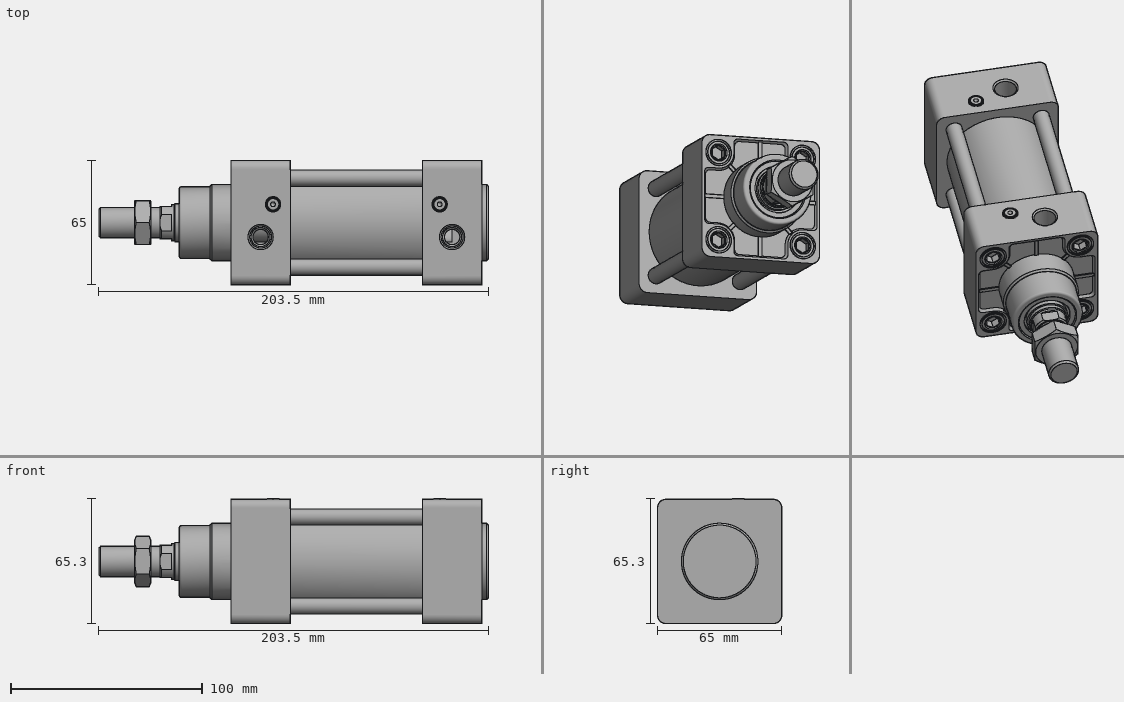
import cadquery as cq
import math


cap_side = 65.0
cap_length = 31.0
front_cap_x = 69.0
barrel_length = 69.0
corner_radius = 4.5
barrel_diameter = 54.0
rear_barrel_x = front_cap_x + cap_length
rear_cap_x = rear_barrel_x + barrel_length
rear_face_x = rear_cap_x + cap_length

tie_spacing = 46.5
tie_diameter = 8.5
tie_groove_outer_diameter = 14.0
tie_groove_inner_diameter = 12.0
tie_groove_depth = 0.5
socket_mouth_diameter = 9.2
socket_floor_diameter = 8.0
socket_mouth_depth = 0.5
socket_flats = 6.7
socket_depth = 5.0

collar_diameter = 40.0
collar_front_x = 58.0
nose_diameter = 37.6
nose_front_x = 42.0
nose_round = 1.2
collar_chamfer = 1.0
nose_bore_diameter = 30.0
nose_bore_chamfer = 0.6
nose_bore_depth = 0.8
seal_seat_diameter = 24.6
seal_seat_depth = 2.5
wiper_diameter = 21.8
spigot_length = 3.5
spigot_chamfer = 1.0

pocket_border = 1.4
pocket_depth = 1.5
pocket_wall_slant = 1.0
pocket_corner_radius = 2.4
pad_radius = 8.3
rib_width = 1.9
rib_drop = 0.8

port_y = -7.5
port_mouth_diameter = 13.2
port_thread_diameter = 11.45
port_thread_depth = 12.0
port_passage_diameter = 8.0
port_passage_chamfer = 1.0
port_chamfer = (port_mouth_diameter - port_thread_diameter) / 2

cushion_y = 9.6
cushion_inset = 9.0
cushion_seat_diameter = 8.0
cushion_seat_depth = 1.0
cushion_screw_diameter = 7.0
cushion_screw_rise = 0.3
cushion_screw_top_diameter = 6.0
cushion_chamfer = (cushion_screw_diameter - cushion_screw_top_diameter) / 2
cushion_hole_diameter = 2.5
cushion_hole_depth = 1.0

rod_diameter = 20.0
thread_diameter = 16.0
tip_chamfer = 1.0
thread_length = 32.0
neck_diameter = 19.0
neck_chamfer = 0.8
wrench_flats = 17.0
wrench_end_x = 38.0
shoulder_x = 39.4
shoulder_chamfer = 0.5
nut_front_x = 18.7
nut_thickness = 8.5
nut_flats = 23.0
nut_chamfer_length = 0.9
nut_face_diameter = 22.3

rear_port_x = rear_cap_x + cap_length / 2
front_port_x = front_cap_x + cap_length / 2


def axial_cylinder(diameter, start_x, length):
    return cq.Workplane("YZ", origin=(start_x, 0, 0)).circle(diameter / 2).extrude(length)


def turned(points):
    """Solid of revolution about X from (x, radius) points."""
    return cq.Workplane("XY").polyline(points).close().revolve(360, (0, 0, 0), (1, 0, 0))


def cap(start_x):
    return (
        cq.Workplane("YZ", origin=(start_x, 0, 0))
        .rect(cap_side, cap_side)
        .extrude(cap_length)
        .edges("|X")
        .fillet(corner_radius)
    )


def front_boss():
    nose = axial_cylinder(nose_diameter, nose_front_x, front_cap_x - nose_front_x)
    nose = nose.faces("<X").fillet(nose_round)
    collar = axial_cylinder(collar_diameter, collar_front_x, front_cap_x + pocket_depth - collar_front_x)
    collar = collar.faces("<X").chamfer(collar_chamfer)
    bore_radius = nose_bore_diameter / 2
    seat_radius = seal_seat_diameter / 2
    recess = turned([
        (nose_front_x, 0),
        (nose_front_x, bore_radius + nose_bore_chamfer),
        (nose_front_x + nose_bore_chamfer, bore_radius),
        (nose_front_x + nose_bore_depth, bore_radius),
        (nose_front_x + nose_bore_depth, seat_radius),
        (nose_front_x + seal_seat_depth, seat_radius),
        (nose_front_x + seal_seat_depth, 0),
    ])
    wiper = axial_cylinder(wiper_diameter, nose_front_x, seal_seat_depth)
    return nose.union(collar).cut(recess).union(wiper)


def pocket_outline(plane, inset):
    """Cross-shaped outline inside the border, rounded around the four screw pads."""
    edge = cap_side / 2 - pocket_border - inset
    pad = tie_spacing / 2 - pad_radius - inset
    centre = tie_spacing / 2
    bend = pad_radius + inset
    corner = pocket_corner_radius
    notch = bend * math.sqrt(0.5)
    swing = corner * (1 - math.sqrt(0.5))
    outline = plane.moveTo(pad, edge - corner)
    for quarter in range(4):
        angle = -quarter * math.pi / 2

        def turn(y, z, a=angle):
            turned_y = y * math.cos(a) - z * math.sin(a)
            turned_z = y * math.sin(a) + z * math.cos(a)
            return (turned_y, turned_z)

        outline = (
            outline.lineTo(*turn(pad, centre))
            .threePointArc(turn(centre - notch, centre - notch), turn(centre, pad))
            .lineTo(*turn(edge - corner, pad))
            .threePointArc(turn(edge - swing, pad - swing), turn(edge, pad - corner))
            .lineTo(*turn(edge, corner - pad))
            .threePointArc(turn(edge - swing, swing - pad), turn(edge - corner, -pad))
        )
    return outline.close()


def front_pocket():
    mouth = pocket_outline(cq.Workplane("YZ", origin=(front_cap_x, 0, 0)), 0)
    floor = pocket_outline(mouth.workplane(offset=pocket_depth), pocket_wall_slant)
    pocket = floor.loft(ruled=True)
    for spoke in range(4):
        rib = (
            cq.Workplane("YZ", origin=(front_cap_x + rib_drop, 0, 0))
            .transformed(rotate=(0, 0, 45 * spoke))
            .rect(2 * cap_side, rib_width)
            .extrude(pocket_depth)
        )
        pocket = pocket.cut(rib)
    return pocket


def tie_screw_recess():
    groove = axial_cylinder(tie_groove_outer_diameter, 0, tie_groove_depth)
    groove = groove.cut(axial_cylinder(tie_groove_inner_diameter, 0, tie_groove_depth))
    mouth = turned([
        (0, 0),
        (0, socket_mouth_diameter / 2),
        (socket_mouth_depth, socket_floor_diameter / 2),
        (socket_mouth_depth, 0),
    ])
    socket_corners = socket_flats / math.cos(math.pi / 6)
    socket = cq.Workplane("YZ").transformed(rotate=(0, 0, 90)).polygon(6, socket_corners).extrude(socket_depth)
    return groove.union(mouth).union(socket)


def port(x):
    top = cap_side / 2
    mouth = port_mouth_diameter / 2
    thread = port_thread_diameter / 2
    passage = port_passage_diameter / 2
    profile = [
        (0, top),
        (mouth, top),
        (thread, top - port_chamfer),
        (thread, top - port_thread_depth),
        (passage + port_passage_chamfer, top - port_thread_depth),
        (passage, top - port_thread_depth - port_passage_chamfer),
        (passage, 0),
        (0, 0),
    ]
    hole = cq.Workplane("XZ").polyline(profile).close().revolve(360, (0, 0, 0), (0, 1, 0))
    return hole.translate((x, port_y, 0))


def with_cushion_screw(body, x):
    seat_z = cap_side / 2 - cushion_seat_depth
    plane = cq.Workplane("XY", origin=(x, cushion_y, seat_z))
    seat = plane.circle(cushion_seat_diameter / 2).extrude(2 * cushion_seat_depth)
    screw_height = cushion_seat_depth + cushion_screw_rise
    screw = plane.circle(cushion_screw_diameter / 2).extrude(screw_height)
    screw = screw.faces(">Z").chamfer(cushion_screw_rise, cushion_chamfer)
    hole = cq.Workplane(cq.Solid.makeCone(
        cushion_hole_diameter / 2,
        0,
        cushion_hole_depth,
        cq.Vector(x, cushion_y, seat_z + screw_height),
        cq.Vector(0, 0, -1),
    ))
    return body.cut(seat).union(screw).cut(hole)


def make_housing():
    front_cap = cap(front_cap_x).cut(front_pocket())
    rear_cap = cap(rear_cap_x)
    barrel = axial_cylinder(barrel_diameter, rear_barrel_x, barrel_length)
    spigot = axial_cylinder(collar_diameter, rear_face_x, spigot_length).faces(">X").chamfer(spigot_chamfer)
    body = front_cap.union(barrel).union(rear_cap).union(spigot).union(front_boss())
    recess = tie_screw_recess()
    for side_y in (-1, 1):
        for side_z in (-1, 1):
            y = side_y * tie_spacing / 2
            z = side_z * tie_spacing / 2
            tie_rod = axial_cylinder(tie_diameter, rear_barrel_x, barrel_length).translate((0, y, z))
            body = body.union(tie_rod).cut(recess.translate((front_cap_x, y, z)))
    for x in (front_port_x, rear_port_x):
        body = body.cut(port(x))
    for x in (rear_barrel_x - cushion_inset, rear_cap_x + cushion_inset):
        body = with_cushion_screw(body, x)
    rod_bore = axial_cylinder(rod_diameter, nose_front_x, rear_port_x - nose_front_x)
    return body.cut(rod_bore)


def make_rod():
    thread = axial_cylinder(thread_diameter, 0, thread_length).faces("<X").chamfer(tip_chamfer)
    neck = axial_cylinder(neck_diameter, thread_length, shoulder_x - thread_length).faces("<X").chamfer(neck_chamfer)
    shank = axial_cylinder(rod_diameter, shoulder_x, rear_cap_x - shoulder_x).faces("<X").chamfer(shoulder_chamfer)
    wrench_length = wrench_end_x - thread_length
    around_flats = (
        cq.Workplane("YZ", origin=(thread_length, 0, 0))
        .rect(2 * rod_diameter, 2 * rod_diameter)
        .rect(wrench_flats, wrench_flats)
        .extrude(wrench_length)
    )
    corner_radius = nut_flats / 2 / math.cos(math.pi / 6)
    nut = (
        cq.Workplane("YZ", origin=(nut_front_x, 0, 0))
        .transformed(rotate=(0, 0, 90))
        .polygon(6, 2 * corner_radius)
        .extrude(nut_thickness)
    )
    face_radius = nut_face_diameter / 2
    nut_end_x = nut_front_x + nut_thickness
    nut_envelope = turned([
        (nut_front_x, 0),
        (nut_front_x, face_radius),
        (nut_front_x + nut_chamfer_length, corner_radius),
        (nut_end_x - nut_chamfer_length, corner_radius),
        (nut_end_x, face_radius),
        (nut_end_x, 0),
    ])
    return thread.union(neck.cut(around_flats)).union(shank).union(nut.intersect(nut_envelope))


housing = make_housing()
piston_rod = make_rod()
result = cq.Compound.makeCompound([housing.val(), piston_rod.val()])